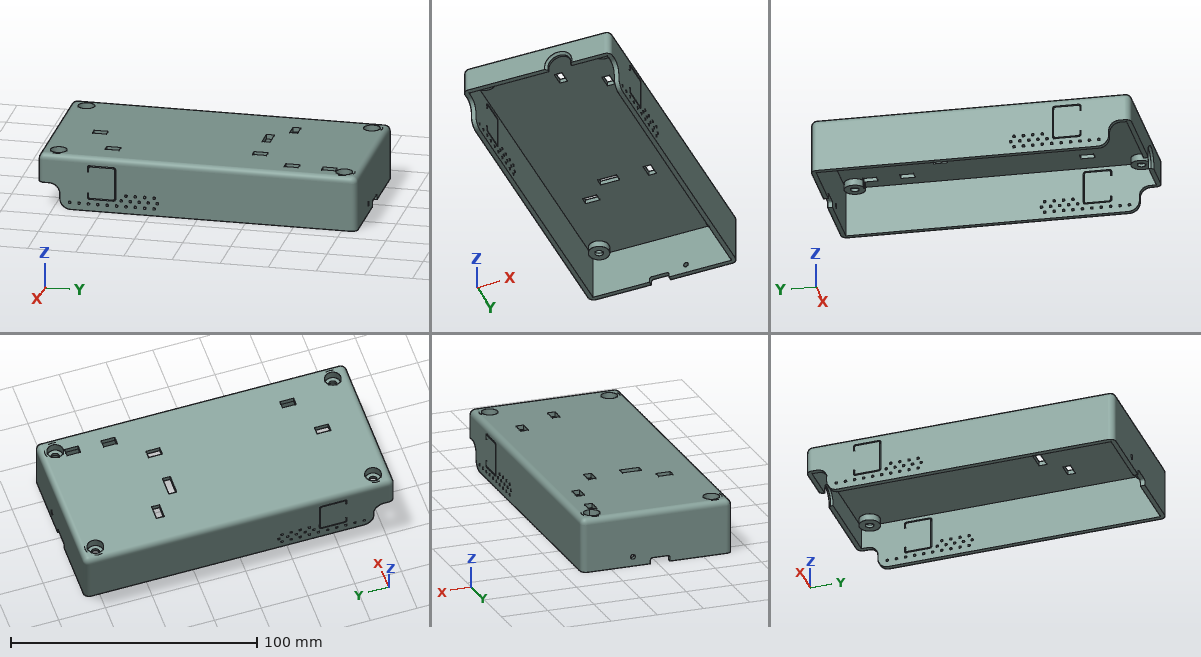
import cadquery as cq

width = 65.0
length = 132.5
height = 23.0
wall = 2.0
top_thickness = 2.0
edge_radius = 2.5
front = -length / 2
back = length / 2

lip_height = 10.9
step_setback = 9.0
foot_radius = 4.5
lip_radius = 4.4

screw_spacing_x = 51.8
screw_spacing_y = 118.7
screw_centre_y = 0.3
screw_hole_diameter = 3.5
head_diameter = 6.8
head_depth = 3.6
boss_diameter = head_diameter + wall
boss_floor = 1.3
boss_height = head_depth + boss_floor

slot_width = 3.3
slot_length = 5.8
wide_slot_length = 6.2
long_slot_length = 8.3
slots_along_y = [(23.8, 52.9), (23.5, 37.4), (12.6, 21.7), (19.7, -37.9), (2.6, -47.0)]
slots_along_x = [(-16.7, 29.8, wide_slot_length), (-5.3, 21.1, long_slot_length)]

arch_x = 9.7
arch_z = 12.0
arch_radius = 5.0
arch_chamfer = 1.0

notch_x = -1.3
notch_width = 8.5
notch_height = 2.5
notch_radius = 0.9
pin_hole_x = 10.5
pin_hole_z = 4.1
pin_hole_diameter = 2.0

vent_diameter = 1.0
upper_vents = 4
middle_vents = 5
lower_vents = 10
vent_start = -18.0
vent_run = 35.1
vent_pitch = vent_run / (lower_vents - 1)
middle_vent_start = -16.7
middle_vent_run = 15.0
middle_vent_pitch = middle_vent_run / (middle_vents - 1)
upper_vent_z = 7.7
middle_vent_z = 5.4
lower_vent_z = 3.0

frame_y = -39.9
frame_z = 12.3
frame_length = 11.8
frame_height = 14.6
frame_corner_radius = 1.0
frame_slot = 0.5
frame_gap = 9.3


def make_shell():
    body = (
        cq.Workplane("XY")
        .box(width, length, height, centered=(True, True, False))
        .edges("|Z or >Z")
        .fillet(edge_radius)
    )
    cavity_height = height - top_thickness
    cavity = (
        cq.Workplane("XY")
        .box(width - 2 * wall, length - 2 * wall, cavity_height, centered=(True, True, False))
    )
    return body.cut(cavity)


def make_front_cutaway():
    step_y = front + step_setback
    return (
        cq.Workplane("YZ")
        .moveTo(front, 0)
        .lineTo(step_y + foot_radius, 0)
        .radiusArc((step_y, foot_radius), foot_radius)
        .lineTo(step_y, lip_height - lip_radius)
        .radiusArc((step_y - lip_radius, lip_height), -lip_radius)
        .lineTo(front, lip_height)
        .close()
        .extrude(width / 2, both=True)
    )


def make_arch_profile(y, radius):
    return (
        cq.Workplane("XZ", origin=(arch_x, y, 0))
        .moveTo(-radius, 0)
        .lineTo(-radius, arch_z)
        .threePointArc((0, arch_z + radius), (radius, arch_z))
        .lineTo(radius, 0)
        .close()
    )


def make_arch():
    opening = make_arch_profile(front, arch_radius).extrude(-wall)
    mouth = make_arch_profile(front, arch_radius + arch_chamfer).wires().val()
    throat = make_arch_profile(front + arch_chamfer, arch_radius).wires().val()
    flare = cq.Workplane(obj=cq.Solid.makeLoft([mouth, throat], True))
    return opening.union(flare)


def at_screws(workplane):
    return workplane.center(0, screw_centre_y).rarray(screw_spacing_x, screw_spacing_y, 2, 2)


def make_bosses():
    plane = cq.Workplane("XY").workplane(offset=height - boss_height)
    return at_screws(plane).circle(boss_diameter / 2).extrude(boss_height)


def make_screw_holes():
    plane = cq.Workplane("XY").workplane(offset=height)
    holes = at_screws(plane).circle(screw_hole_diameter / 2).extrude(-height)
    heads = at_screws(plane).circle(head_diameter / 2).extrude(-head_depth)
    return holes.union(heads)


def make_top_slots():
    plane = cq.Workplane("XY").workplane(offset=height - boss_height)
    slots = plane.pushPoints(slots_along_y).rect(slot_width, slot_length).extrude(boss_height)
    for x, y, size in slots_along_x:
        slots = slots.union(plane.center(x, y).rect(size, slot_width).extrude(boss_height))
    return slots


def make_back_openings():
    notch = (
        cq.Workplane("XY")
        .box(notch_width, wall, notch_height, centered=(True, False, False))
        .edges("|Y and >Z")
        .fillet(notch_radius)
        .translate((notch_x, back - wall, 0))
    )
    pin_hole = (
        cq.Workplane("XZ", origin=(pin_hole_x, back, pin_hole_z))
        .circle(pin_hole_diameter / 2)
        .extrude(wall)
    )
    return notch.union(pin_hole)


def vent_row(count, start, pitch, z):
    return [(start - i * pitch, z) for i in range(count)]


def make_vents():
    centres = (
        vent_row(upper_vents, vent_start, vent_pitch, upper_vent_z)
        + vent_row(middle_vents, middle_vent_start, middle_vent_pitch, middle_vent_z)
        + vent_row(lower_vents, vent_start, vent_pitch, lower_vent_z)
    )
    return cq.Workplane("YZ").pushPoints(centres).circle(vent_diameter / 2).extrude(width / 2, both=True)


def make_frame_slot():
    plane = cq.Workplane("YZ").center(frame_y, frame_z)
    outer = (
        plane.rect(frame_length, frame_height)
        .extrude(width / 2, both=True)
        .edges("|X")
        .fillet(frame_corner_radius)
    )
    inner = (
        plane.rect(frame_length - 2 * frame_slot, frame_height - 2 * frame_slot)
        .extrude(width / 2, both=True)
        .edges("|X")
        .fillet(frame_corner_radius - frame_slot)
    )
    bridge_width = 2 * frame_corner_radius
    bridge = plane.center(-frame_length / 2, 0).rect(bridge_width, frame_gap)
    return outer.cut(inner).cut(bridge.extrude(width / 2, both=True))


result = (
    make_shell()
    .union(make_bosses())
    .cut(make_front_cutaway())
    .cut(make_arch())
    .cut(make_screw_holes())
    .cut(make_top_slots())
    .cut(make_back_openings())
    .cut(make_vents())
    .cut(make_frame_slot())
)